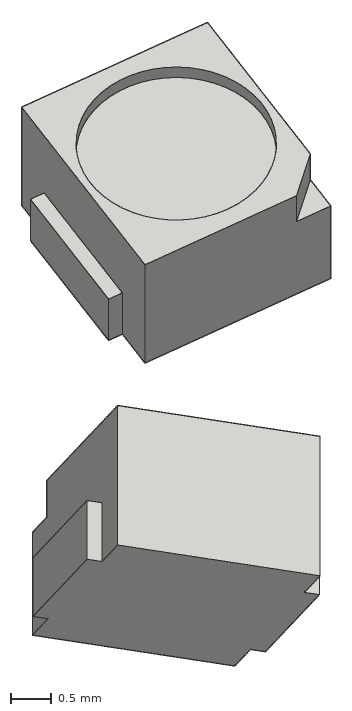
import cadquery as cq

body_width = 3.0
overall_length = 3.1
body_height = 1.9

body_length = 2.7
recess_diameter = 2.5
recess_depth = 0.2
corner_notch_leg = 0.5
corner_notch_depth = corner_notch_leg

terminal_width = 1.9
terminal_height = 0.8


def block_on_base(width, length, height):
    """Box centred in X and Y, standing on Z = 0."""
    return cq.Workplane("XY").box(width, length, height, centered=(True, True, False))


def corner_notch():
    """Triangular step that marks the +X +Y corner of the top face."""
    corner_x = body_width / 2
    corner_y = body_length / 2
    return (
        cq.Workplane("XY", origin=(corner_x, corner_y, body_height))
        .polyline([(0, 0), (-corner_notch_leg, 0), (0, -corner_notch_leg)])
        .close()
        .extrude(-corner_notch_depth)
    )


def round_recess():
    """Shallow circular pocket in the middle of the top face."""
    return (
        cq.Workplane("XY", origin=(0, 0, body_height))
        .circle(recess_diameter / 2)
        .extrude(-recess_depth)
    )


housing = block_on_base(body_width, body_length, body_height)
housing = housing.cut(round_recess()).cut(corner_notch())
terminals = block_on_base(terminal_width, overall_length, terminal_height)

result = housing.union(terminals)